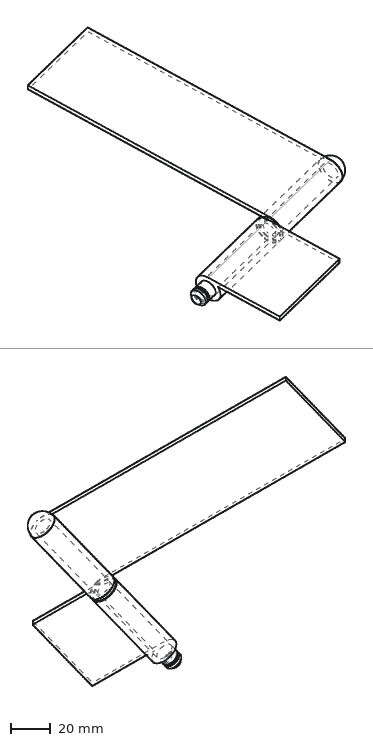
import cadquery as cq

overall_length = 197.0
long_leaf_reach = 152.0
short_leaf_reach = overall_length - long_leaf_reach
leaf_width = 50.0
leaf_thickness = 3.0
barrel_diameter = 15.5
barrel_radius = barrel_diameter / 2

washer_thickness = 2.0
washer_radius = 7.0

pin_radius = 4.7
head_radius = 7.5
tail_length = 10.0
groove_offset = 5.1
groove_width = 1.4
groove_depth = 1.0
tip_chamfer = 1.8

washer_front = -washer_thickness / 2
washer_back = washer_thickness / 2
short_leaf_front = washer_front - leaf_width
long_leaf_back = washer_back + leaf_width
tip_y = short_leaf_front - tail_length


def cylinder(radius, y_start, length):
    """Solid cylinder on the hinge axis, growing toward +Y."""
    return (
        cq.Workplane("XZ", origin=(0, y_start, 0))
        .circle(radius)
        .extrude(-length)
    )


def make_leaf(reach, side, y_start):
    """Flat plate tangent to the top of its bored barrel; side is -1 or +1 along X."""
    plate = cq.Workplane("XY").box(reach, leaf_width, leaf_thickness).translate((
        side * reach / 2,
        y_start + leaf_width / 2,
        barrel_radius - leaf_thickness / 2,
    ))
    barrel = cylinder(barrel_radius, y_start, leaf_width)
    bore = cylinder(pin_radius, y_start, leaf_width)
    return barrel.union(plate).cut(bore)


def make_washer():
    """Spacer ring between the two barrels."""
    ring = cylinder(washer_radius, washer_front, washer_thickness)
    return ring.cut(cylinder(pin_radius, washer_front, washer_thickness))


def make_pin():
    """Pin with a hemispherical head, a retaining groove and a chamfered tip."""
    groove_back = short_leaf_front - groove_offset
    groove_front = groove_back - groove_width
    groove_radius = pin_radius - groove_depth
    head_arc_offset = head_radius * 0.5 ** 0.5
    return (
        cq.Workplane("XY")
        .moveTo(0, tip_y)
        .lineTo(pin_radius - tip_chamfer, tip_y)
        .lineTo(pin_radius, tip_y + tip_chamfer)
        .lineTo(pin_radius, groove_front)
        .lineTo(groove_radius, groove_front)
        .lineTo(groove_radius, groove_back)
        .lineTo(pin_radius, groove_back)
        .lineTo(pin_radius, long_leaf_back)
        .lineTo(head_radius, long_leaf_back)
        .threePointArc(
            (head_arc_offset, long_leaf_back + head_arc_offset),
            (0, long_leaf_back + head_radius),
        )
        .close()
        .revolve(360, (0, 0, 0), (0, 1, 0))
    )


long_leaf = make_leaf(long_leaf_reach, -1, washer_back)
short_leaf = make_leaf(short_leaf_reach, 1, short_leaf_front)
washer = make_washer()
pin = make_pin()

result = cq.Compound.makeCompound([
    long_leaf.val(),
    short_leaf.val(),
    washer.val(),
    pin.val(),
])